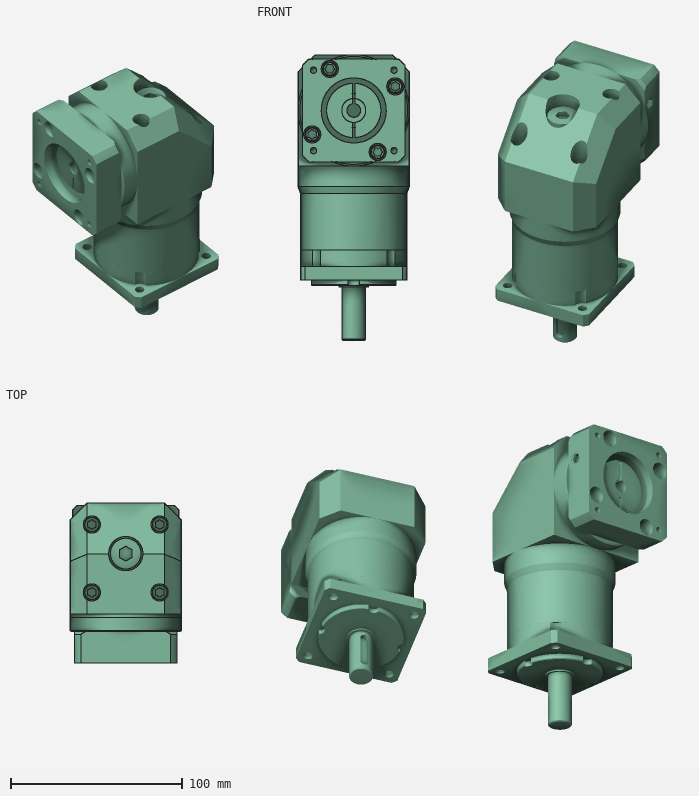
import cadquery as cq
import math


shaft_shoulder_z = 31.1
pilot_bottom_z = 32.0
flange_bottom_z = 35.1
flange_top_z = 43.1
neck_top_z = 52.6
taper_bottom_z = 85.5
taper_top_z = 89.5
block_bottom_z = 101.5

block_size = 65.0
block_half = block_size / 2
block_slope_leg = 30.0
block_edge_chamfer = 10.0
input_axis_z = block_bottom_z + block_half
block_top_z = block_bottom_z + block_size

gear_radius = 31.0
flange_size = 2 * gear_radius
flange_corner_radius = 42.0
flange_bolt_radius = 35.0
flange_bolt_angles = (45, 135, 225, 315)
flange_hole_diameter = 5.5
scallop_radius = 5.3
pilot_radius = 25.0
pilot_chamfer = 0.5
pilot_notch_radius = 3.3
pilot_notch_distance = 25.5
pilot_notch_angles = (0, 90, 180, 270)
shaft_radius = 7.0
shaft_chamfer = 0.7
shoulder_radius = 8.5
key_width = 5.0
key_depth = 3.0
key_length = 25.0
key_center_z = 16.0

screw_circle_radius = 28.0
screw_hole_radius = 5.0
screw_head_radius = 4.2
screw_head_height = 5.0
screw_hex_corners = 5.7
screw_hex_depth = 2.5
block_screw_angles = (45, 135, 225, 315)
block_screw_hex_turn = 30
block_screw_floor_z = 123.2

plug_center_y = 2.8
plug_recess_radius = 10.0
plug_recess_floor_z = 154.8
plug_radius = 9.0
plug_top_z = 158.5
plug_hex_corners = 8.7
plug_hex_depth = 3.3
plug_hex_turn = 90

boss_length = 2.0
ring_length = 8.2
ring_chamfer_length = 0.5
ring_chamfer_width = 1.0
plate_length = 18.5
boss_face_y = -block_half - boss_length
ring_face_y = boss_face_y - ring_length
plate_face_y = ring_face_y - plate_length

plate_size = 60.0
plate_corner_radius = 39.8
plate_corner_chamfer = 1.7
bore_radius = 19.0
bore_lip_length = 5.3
bore_inner_radius = 20.0
motor_hole_pitch = 47.0
motor_hole_radius = 1.8
motor_hole_depth = 10.0
drill_tip_angle = 118.0
adapter_screw_angles = (30, 120, 210, 300)
adapter_screw_depth = 15.0
adapter_head_chamfer = 0.5
clamp_screw_radius = 3.8
clamp_screw_recess = 0.3
clamp_hex_corners = 6.3
clamp_hex_depth = 2.5
clamp_screw_y = -49.1
clamp_screw_rise = 11.2

hub_radius = 15.8
hub_neck_radius = 10.0
hub_collar_length = 11.7
hub_face_depth = 6.7
hub_slit_width = 1.5
bushing_radius = 7.0
bushing_bore_radius = 4.0
bushing_length = 15.0
hub_face_y = plate_face_y + hub_face_depth


def output_revolve(profile):
    """Turn an outline of (radius, z) points about the output axis."""
    outline = cq.Workplane("XZ").polyline([(-radius, z) for radius, z in profile]).close()
    return outline.revolve(360, (0, 0), (0, 1))


def input_revolve(profile):
    """Turn an outline of (radius, y) points about the input axis."""
    outline = cq.Workplane("YZ").polyline([(y, input_axis_z + radius) for radius, y in profile]).close()
    return outline.revolve(360, (0, input_axis_z), (1, input_axis_z))


def input_plane(y):
    """Workplane square to the input axis, with its normal pointing out of the gearbox (-Y)."""
    return cq.Workplane("XZ", origin=(0, y, input_axis_z))


def output_plane(z):
    """Workplane square to the output axis, with its normal pointing up."""
    return cq.Workplane("XY", origin=(0, 0, z))


def bolt_circle(radius, angles):
    """Points on a circle, at angles in degrees."""
    return [
        (radius * math.cos(math.radians(angle)), radius * math.sin(math.radians(angle)))
        for angle in angles
    ]


def screw_head(floor, angle, hex_turn):
    """Socket head standing on the floor of its hole, at an angle on the screw circle."""
    x, y = bolt_circle(screw_circle_radius, [angle])[0]
    head = floor.center(x, y).circle(screw_head_radius).extrude(screw_head_height)
    socket = (
        floor.center(x, y)
        .workplane(offset=screw_head_height)
        .transformed(rotate=(0, 0, hex_turn))
        .polygon(6, screw_hex_corners)
        .extrude(-screw_hex_depth)
    )
    return head.cut(socket)


def make_output():
    body = output_revolve(
        [
            (0, 0),
            (shaft_radius - shaft_chamfer, 0),
            (shaft_radius, shaft_chamfer),
            (shaft_radius, shaft_shoulder_z),
            (shoulder_radius, shaft_shoulder_z),
            (shoulder_radius, pilot_bottom_z),
            (pilot_radius - pilot_chamfer, pilot_bottom_z),
            (pilot_radius, pilot_bottom_z + pilot_chamfer),
            (pilot_radius, flange_bottom_z),
            (gear_radius, flange_bottom_z),
            (gear_radius, neck_top_z),
            (0, neck_top_z),
        ]
    )

    notches = (
        output_plane(pilot_bottom_z)
        .pushPoints(bolt_circle(pilot_notch_distance, pilot_notch_angles))
        .circle(pilot_notch_radius)
        .extrude(flange_bottom_z - pilot_bottom_z)
    )
    scallops = (
        output_plane(flange_top_z)
        .pushPoints(bolt_circle(flange_bolt_radius, flange_bolt_angles))
        .circle(scallop_radius)
        .extrude(neck_top_z - flange_top_z)
    )
    body = body.cut(notches).cut(scallops)

    flange_thickness = flange_top_z - flange_bottom_z
    flange = output_plane(flange_bottom_z).rect(flange_size, flange_size).extrude(flange_thickness)
    corner_trim = output_plane(flange_bottom_z).circle(flange_corner_radius).extrude(flange_thickness)
    bolt_holes = (
        output_plane(flange_bottom_z)
        .pushPoints(bolt_circle(flange_bolt_radius, flange_bolt_angles))
        .circle(flange_hole_diameter / 2)
        .extrude(flange_thickness)
    )
    body = body.union(flange.intersect(corner_trim)).cut(bolt_holes)

    keyway = (
        cq.Workplane("XZ", origin=(0, shaft_radius, key_center_z))
        .slot2D(key_length, key_width, 90)
        .extrude(key_depth)
    )
    return body.cut(keyway)


def make_block():
    slope_start = block_half - block_slope_leg
    block = (
        cq.Workplane("YZ", origin=(-block_half, 0, 0))
        .moveTo(-block_half, block_bottom_z)
        .lineTo(block_half, block_bottom_z)
        .lineTo(block_half, block_top_z - block_slope_leg)
        .lineTo(slope_start, block_top_z)
        .lineTo(-block_half, block_top_z)
        .close()
        .extrude(block_size)
    )
    return block.faces(">Z or >Y or >(0,1,1)").edges("<X or >X").chamfer(block_edge_chamfer)


def make_hub():
    hub = input_revolve(
        [
            (0, boss_face_y),
            (hub_neck_radius, boss_face_y),
            (hub_neck_radius, hub_face_y + hub_collar_length),
            (hub_radius, hub_face_y + hub_collar_length),
            (hub_radius, hub_face_y),
            (0, hub_face_y),
        ]
    )
    slit = input_plane(hub_face_y).rect(hub_slit_width, 2 * hub_radius).extrude(-hub_collar_length)
    bushing_seat = input_plane(hub_face_y).circle(bushing_radius).extrude(-bushing_length)
    return hub.cut(slit).cut(bushing_seat)


def make_housing():
    gear_cylinder = output_revolve(
        [
            (0, neck_top_z),
            (gear_radius, neck_top_z),
            (gear_radius, taper_bottom_z),
            (block_half, taper_top_z),
            (block_half, block_bottom_z),
            (0, block_bottom_z),
        ]
    )
    boss = input_revolve(
        [(0, -block_half), (block_half, -block_half), (block_half, boss_face_y), (0, boss_face_y)]
    )
    body = gear_cylinder.union(make_block()).union(boss).union(make_hub())

    screw_floor = output_plane(block_screw_floor_z)
    screw_holes = (
        screw_floor.pushPoints(bolt_circle(screw_circle_radius, block_screw_angles))
        .circle(screw_hole_radius)
        .extrude(block_top_z - block_screw_floor_z)
    )
    body = body.cut(screw_holes)
    for angle in block_screw_angles:
        body = body.union(screw_head(screw_floor, angle, block_screw_hex_turn))

    plug_floor = output_plane(plug_recess_floor_z).center(0, plug_center_y)
    recess = plug_floor.circle(plug_recess_radius).extrude(block_top_z - plug_recess_floor_z)
    plug = plug_floor.circle(plug_radius).extrude(plug_top_z - plug_recess_floor_z)
    plug_hex = (
        output_plane(plug_top_z)
        .center(0, plug_center_y)
        .transformed(rotate=(0, 0, plug_hex_turn))
        .polygon(6, plug_hex_corners)
        .extrude(-plug_hex_depth)
    )
    return body.cut(recess).union(plug).cut(plug_hex)


def make_adapter():
    ring = input_revolve(
        [
            (0, boss_face_y),
            (block_half, boss_face_y),
            (block_half, ring_face_y + ring_chamfer_length),
            (block_half - ring_chamfer_width, ring_face_y),
            (0, ring_face_y),
        ]
    )
    plate = input_plane(ring_face_y).rect(plate_size, plate_size).extrude(plate_length)
    corner_trim = input_revolve(
        [
            (0, ring_face_y),
            (plate_corner_radius - plate_corner_chamfer, ring_face_y),
            (plate_corner_radius, ring_face_y - plate_corner_chamfer),
            (plate_corner_radius, plate_face_y),
            (0, plate_face_y),
        ]
    )
    bore = input_revolve(
        [
            (0, boss_face_y),
            (bore_inner_radius, boss_face_y),
            (bore_inner_radius, plate_face_y + bore_lip_length),
            (bore_radius, plate_face_y + bore_lip_length),
            (bore_radius, plate_face_y),
            (0, plate_face_y),
        ]
    )
    body = ring.union(plate.intersect(corner_trim)).cut(bore)

    screw_floor = input_plane(plate_face_y + adapter_screw_depth)
    screw_holes = (
        screw_floor.pushPoints(bolt_circle(screw_circle_radius, adapter_screw_angles))
        .circle(screw_hole_radius)
        .extrude(adapter_screw_depth)
    )
    body = body.cut(screw_holes)
    for angle in adapter_screw_angles:
        head = screw_head(screw_floor, angle, angle)
        rim = head.faces("<Y").edges("%CIRCLE")
        body = body.union(rim.chamfer(adapter_head_chamfer))

    tip_length = motor_hole_radius / math.tan(math.radians(drill_tip_angle / 2))
    motor_hole = input_revolve(
        [
            (0, plate_face_y),
            (motor_hole_radius, plate_face_y),
            (motor_hole_radius, plate_face_y + motor_hole_depth),
            (0, plate_face_y + motor_hole_depth + tip_length),
        ]
    )
    for x_side in (-1, 1):
        for z_side in (-1, 1):
            corner = (x_side * motor_hole_pitch / 2, 0, z_side * motor_hole_pitch / 2)
            body = body.cut(motor_hole.translate(corner))

    clamp_recess = (
        cq.Workplane("YZ", origin=(-plate_size / 2, clamp_screw_y, input_axis_z + clamp_screw_rise))
        .circle(clamp_screw_radius)
        .extrude(clamp_screw_recess)
        .faces(">X")
        .workplane()
        .polygon(6, clamp_hex_corners)
        .extrude(clamp_hex_depth)
    )
    return body.cut(clamp_recess)


def make_bushing():
    sleeve = (
        input_plane(hub_face_y).circle(bushing_radius).circle(bushing_bore_radius).extrude(-bushing_length)
    )
    slit = (
        input_plane(hub_face_y)
        .center(0, bushing_radius / 2)
        .rect(hub_slit_width, bushing_radius)
        .extrude(-bushing_length)
    )
    return sleeve.cut(slit)


output = make_output()
housing = make_housing()
adapter = make_adapter()
bushing = make_bushing()

result = cq.Compound.makeCompound([output.val(), housing.val(), adapter.val(), bushing.val()])